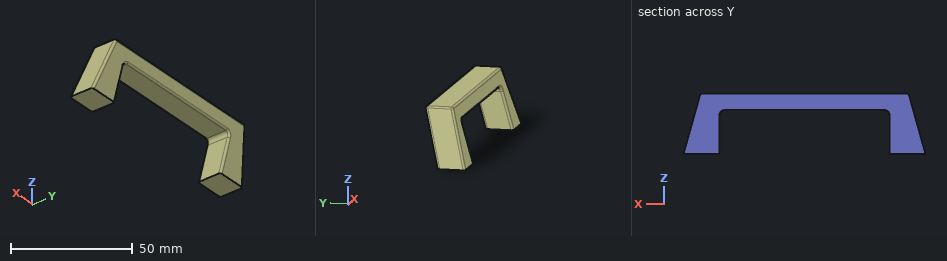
import cadquery as cq
import math

length = 100.0
height = 25.0
depth = 12.0
lean = 7.0
end_inset = 7.0
foot_length = 15.0
opening_height = 18.1
opening_radius = 2.0
edge_radius = 1.0

opening_length = length - 2 * foot_length
cut_depth = 2 * (depth + lean)

slant_per_height = lean / height
tip_loss = edge_radius * (slant_per_height + math.hypot(1, slant_per_height) - 1)
front_y = -(depth + lean - tip_loss) / 2
back_y = front_y + depth


def leaning_bar():
    """Parallelogram section that leans toward +Y, running the full length."""
    section = [
        (front_y, 0),
        (back_y, 0),
        (back_y + lean, height),
        (front_y + lean, height),
    ]
    return cq.Workplane("YZ").polyline(section).close().extrude(length / 2, both=True)


def end_slopes():
    """Trapezoid that limits the bar to its two sloping ends."""
    outline = [
        (-length / 2, 0),
        (length / 2, 0),
        (length / 2 - end_inset, height),
        (-length / 2 + end_inset, height),
    ]
    return cq.Workplane("XZ").polyline(outline).close().extrude(cut_depth, both=True)


def grip_opening():
    """Finger opening between the feet, open at the base, with rounded upper corners."""
    return (
        cq.Workplane("XY")
        .box(opening_length, 2 * cut_depth, opening_height, centered=(True, True, False))
        .edges("|Y and >Z")
        .fillet(opening_radius)
    )


def round_edges(body):
    """Round the edges of the front, back and top faces, leaving the base sharp."""
    return body.faces("<Y or >Y or >Z").edges("not <Z").fillet(edge_radius)


handle = leaning_bar().intersect(end_slopes()).cut(grip_opening())
result = round_edges(handle)